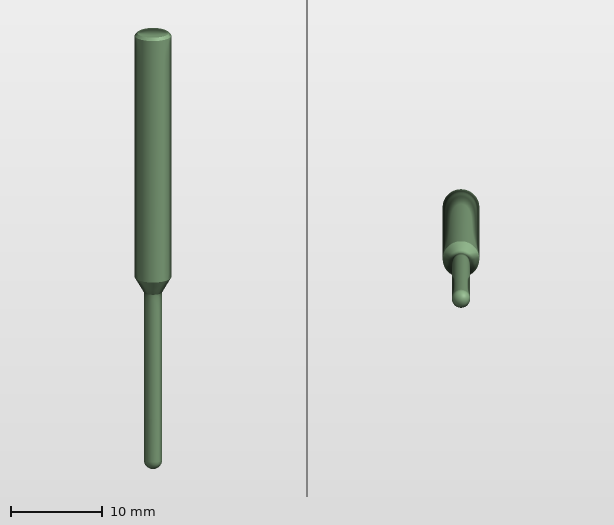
import cadquery as cq
import math

TOTAL_LENGTH = 50.0
SHANK_DIAMETER = 4.0
STEM_DIAMETER = 2.0

CUTTER_LENGTH = 6.0
TAPER_TOP = 22.0
TAPER_HALF_ANGLE = 30.0
TOP_CHAMFER = 0.3

SHANK_RADIUS = SHANK_DIAMETER / 2
STEM_RADIUS = STEM_DIAMETER / 2
TAPER_LENGTH = (SHANK_RADIUS - STEM_RADIUS) / math.tan(math.radians(TAPER_HALF_ANGLE))


def make_shank():
    """Neck, tapered shoulder and chamfered shank, turned about Z."""
    return (
        cq.Workplane("XZ")
        .moveTo(0, CUTTER_LENGTH)
        .lineTo(STEM_RADIUS, CUTTER_LENGTH)
        .lineTo(STEM_RADIUS, TAPER_TOP - TAPER_LENGTH)
        .lineTo(SHANK_RADIUS, TAPER_TOP)
        .lineTo(SHANK_RADIUS, TOTAL_LENGTH - TOP_CHAMFER)
        .lineTo(SHANK_RADIUS - TOP_CHAMFER, TOTAL_LENGTH)
        .lineTo(0, TOTAL_LENGTH)
        .close()
        .revolve(360, (0, 0, 0), (0, 1, 0))
    )


def make_cutter():
    """Round cutting end with a hemispherical tip at Z = 0."""
    return (
        cq.Workplane("XZ")
        .radiusArc((STEM_RADIUS, STEM_RADIUS), -STEM_RADIUS)
        .lineTo(STEM_RADIUS, CUTTER_LENGTH)
        .lineTo(0, CUTTER_LENGTH)
        .close()
        .revolve(360, (0, 0, 0), (0, 1, 0))
    )


shank = make_shank()
cutter = make_cutter()

result = cq.Compound.makeCompound([shank.val(), cutter.val()])